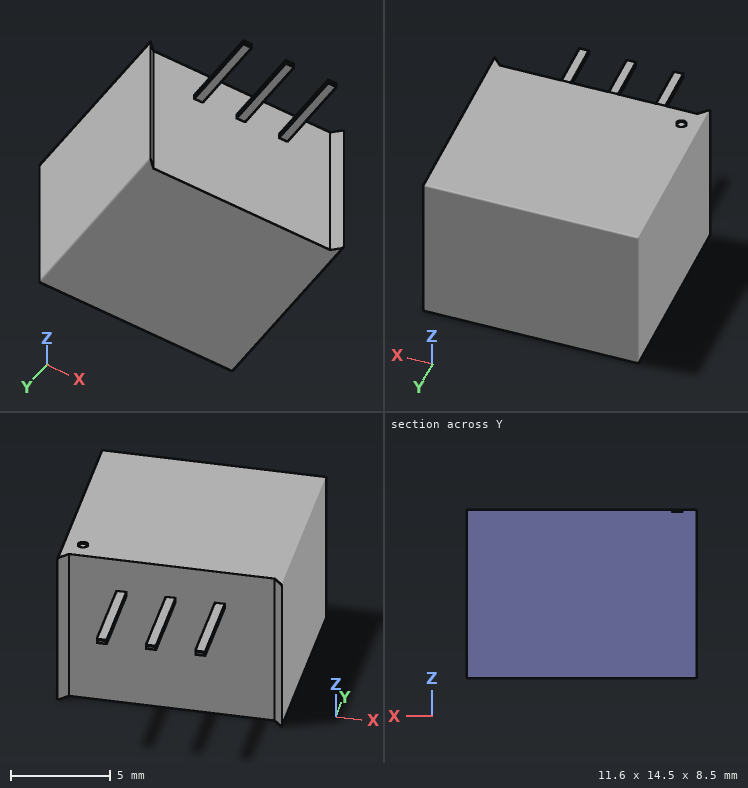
import cadquery as cq

width = 11.6
total_length = 14.5
height = 8.5

case_length = 10.4
lip = 0.51
edge_radius = 0.1

pin_count = 3
pin_pitch = 2.54
pin_row_x = -0.06
pin_width = 0.51
pin_thickness = 0.25
pin_drop = 1.99
pin_tip_chamfer = 0.05
pin_embed = 0.29

mark_diameter = 0.51
mark_inset = 1.0
mark_depth = 0.1

back_y = total_length
lip_y = back_y - case_length
pin_face_y = lip_y + lip
half_width = width / 2
top_z = height / 2


def make_case():
    block = (
        cq.Workplane("XY")
        .box(width, case_length, height)
        .translate((0, lip_y + case_length / 2, 0))
        .edges("|Y or >Y")
        .fillet(edge_radius)
    )
    recess = (
        cq.Workplane("XY")
        .polyline([
            (-half_width, lip_y),
            (-half_width + lip, pin_face_y),
            (half_width - lip, pin_face_y),
            (half_width, lip_y),
        ])
        .close()
        .extrude(top_z, both=True)
    )
    return block.cut(recess)


def make_pin(x):
    length = pin_face_y + pin_embed
    return (
        cq.Workplane("XY")
        .box(pin_width, length, pin_thickness)
        .faces("<Y")
        .edges()
        .chamfer(pin_tip_chamfer)
        .translate((x, length / 2, top_z - pin_drop))
    )


def make_mark():
    return (
        cq.Workplane("XY", origin=(0, 0, top_z - mark_depth))
        .center(-half_width + mark_inset, pin_face_y + mark_inset)
        .circle(mark_diameter / 2)
        .extrude(mark_depth)
    )


result = make_case().cut(make_mark())
for index in range(pin_count):
    pin_offset = (index - (pin_count - 1) / 2) * pin_pitch
    result = result.union(make_pin(pin_row_x + pin_offset))